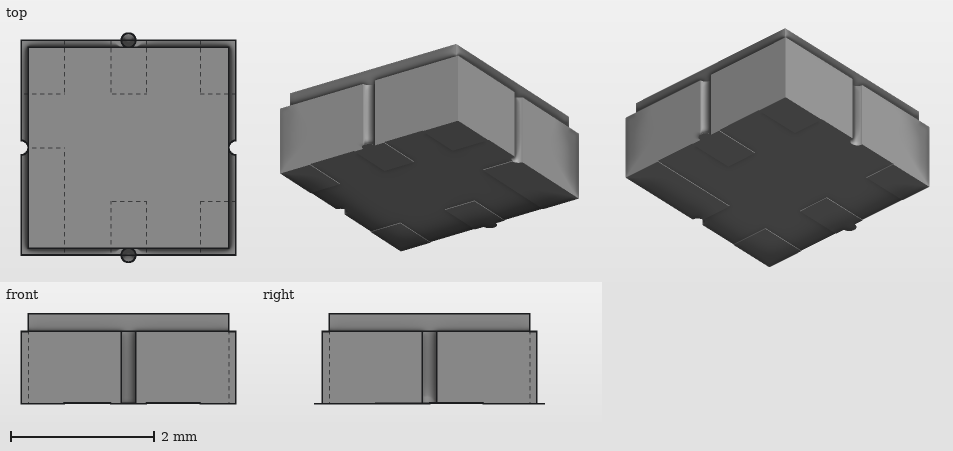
import cadquery as cq

body_side = 3.0
body_height = 1.0
castellation_radius = 0.1

lid_setback = 0.1
lid_side = body_side - 2 * lid_setback
lid_height = 0.25

pad_thickness = 0.01
pad_length = 0.75
marker_pad_length = body_side / 2
left_pad_width = 0.6
middle_pad_width = 0.5
right_pad_width = 0.5

disc_thickness = 0.002

half_side = body_side / 2
body_top = pad_thickness + body_height
left_pad_x = left_pad_width / 2 - half_side
right_pad_x = half_side - right_pad_width / 2
front = -1
back = 1


def make_castellations(bottom, height):
    """Upright cylinders centred on the middle of each of the four sides."""
    return (
        cq.Workplane("XY")
        .workplane(offset=bottom)
        .polarArray(half_side, 0, 360, 4)
        .circle(castellation_radius)
        .extrude(height)
    )


def make_square_block(side, bottom, height):
    return cq.Workplane("XY").workplane(offset=bottom).rect(side, side).extrude(height)


def make_body():
    block = make_square_block(body_side, pad_thickness, body_height)
    return block.cut(make_castellations(pad_thickness, body_height))


def make_pad(x_center, width, y_side, length):
    """Rectangular pad running inward from the front or back edge of the body."""
    y_center = y_side * (half_side - length / 2)
    return (
        cq.Workplane("XY")
        .center(x_center, y_center)
        .rect(width, length)
        .extrude(pad_thickness)
    )


def make_marker_pad():
    """Long front left pad, notched where it reaches the left castellation."""
    pad = make_pad(left_pad_x, left_pad_width, front, marker_pad_length)
    return pad.cut(make_castellations(0, pad_thickness))


def make_disc(y_side):
    return (
        cq.Workplane("XY")
        .center(0, y_side * half_side)
        .circle(castellation_radius)
        .extrude(disc_thickness)
    )


solder = [
    make_marker_pad(),
    make_pad(left_pad_x, left_pad_width, back, pad_length),
]
for y_side in (front, back):
    solder.append(make_pad(0, middle_pad_width, y_side, pad_length))
    solder.append(make_pad(right_pad_x, right_pad_width, y_side, pad_length))
    solder.append(make_disc(y_side))

result = make_body().union(make_square_block(lid_side, body_top, lid_height))
for solder_piece in solder:
    result = result.union(solder_piece, clean=False)